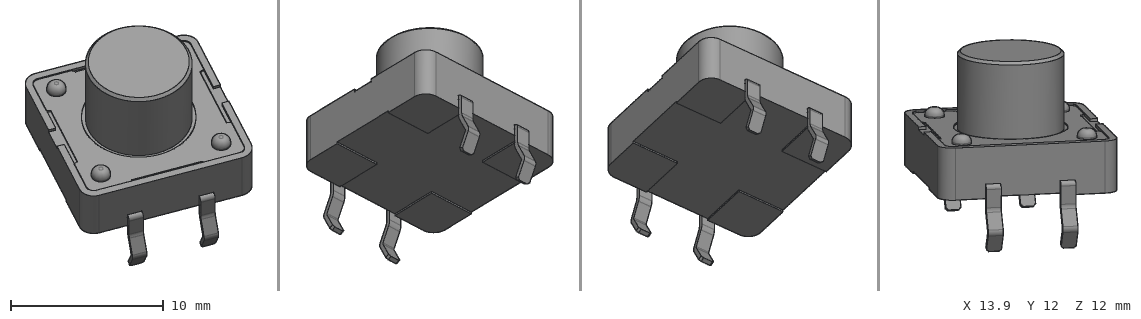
import cadquery as cq
import math


BASE_SIDE = 12.0
BASE_HEIGHT = 3.5
BASE_CORNER_RADIUS = 1.0
RIM_WIDTH = 0.5
RECESS_DEPTH = 0.2
RECESS_SIDE = BASE_SIDE - 2 * RIM_WIDTH
RECESS_CORNER_RADIUS = 0.5
FLOOR_Z = BASE_HEIGHT - RECESS_DEPTH
RIM_NOTCH_WIDTH = 1.6
CHANNEL_WIDTH = 4.9
CHANNEL_DEPTH = 0.14

RIVET_DIAMETER = 1.28
RIVET_SPACING = 8.39
RIVET_RISE = 0.5
RIVET_ROUNDING = 0.5
RIVET_HEIGHT = RECESS_DEPTH + RIVET_RISE

PLATE_THICKNESS = RECESS_DEPTH / 2
PLATE_OPENING = 7.5
EDGE_CUT_LENGTH = 5.21
EDGE_CUT_FLOOR_Y = 5.0
EDGE_CUT_FLOOR_X = 4.9
EDGE_CUT_DEPTH_Y = 0.29
EDGE_CUT_DEPTH_X = 0.2

BUTTON_DIAMETER = 7.0
BUTTON_RISE = 5.0
BUTTON_CHAMFER = 0.2

CONTACT_SPAN = 13.94
CONTACT_THICKNESS = 0.3
CONTACT_WIDTH = 1.0
CONTACT_SPACING = 5.0
STRIP_TOP = 0.99
STRIP_BOTTOM = STRIP_TOP - CONTACT_THICKNESS
LEG_ANGLE = math.radians(27)
LEG_BEND_Z = -0.7
LEG_TIP_Z = -3.48
SHOULDER_RADIUS = CONTACT_THICKNESS
BEND_RADIUS = 0.64
KNEE_RADIUS = 0.43
TIP_CHAMFER = 0.15


def block(length, width, bottom, top):
    """Box centred on the Z axis between two heights."""
    return cq.Workplane("XY").workplane(offset=bottom).rect(length, width).extrude(top - bottom)


def rivet_places(bottom):
    return cq.Workplane("XY").workplane(offset=bottom).rect(
        RIVET_SPACING, RIVET_SPACING, forConstruction=True
    ).vertices()


def contact_places():
    return [side * CONTACT_SPACING / 2 for side in (-1, 1)]


def make_rivets():
    rivets = rivet_places(FLOOR_Z).circle(RIVET_DIAMETER / 2).extrude(RIVET_HEIGHT)
    return rivets.faces(">Z").edges().fillet(RIVET_ROUNDING)


def make_base():
    base = block(BASE_SIDE, BASE_SIDE, 0, BASE_HEIGHT).edges("|Z").fillet(BASE_CORNER_RADIUS)

    recess = block(RECESS_SIDE, RECESS_SIDE, FLOOR_Z, BASE_HEIGHT)
    base = base.cut(recess.edges("|Z").fillet(RECESS_CORNER_RADIUS))
    base = base.cut(block(RIM_NOTCH_WIDTH, BASE_SIDE, FLOOR_Z, BASE_HEIGHT))

    base = base.cut(block(CHANNEL_WIDTH, BASE_SIDE, 0, CHANNEL_DEPTH))
    base = base.cut(block(BASE_SIDE, CHANNEL_WIDTH, 0, CHANNEL_DEPTH))

    slot = block(BASE_SIDE, CONTACT_WIDTH, STRIP_BOTTOM, STRIP_TOP)
    for y in contact_places():
        base = base.cut(slot.translate((0, y, 0)))

    return base.union(make_rivets())


def make_edge_cut(floor_length, depth):
    """Tapered cutter for the -Y edge of the cover plate."""
    edge_y = -RECESS_SIDE / 2
    return (
        cq.Workplane("XY").workplane(offset=FLOOR_Z)
        .moveTo(-EDGE_CUT_LENGTH / 2, edge_y)
        .lineTo(EDGE_CUT_LENGTH / 2, edge_y)
        .lineTo(floor_length / 2, edge_y + depth)
        .lineTo(-floor_length / 2, edge_y + depth)
        .close()
        .extrude(PLATE_THICKNESS)
    )


def make_plate():
    plate = block(RECESS_SIDE, RECESS_SIDE, FLOOR_Z, FLOOR_Z + PLATE_THICKNESS)
    plate = plate.edges("|Z").fillet(RECESS_CORNER_RADIUS)
    plate = plate.cut(
        cq.Workplane("XY").workplane(offset=FLOOR_Z).circle(PLATE_OPENING / 2).extrude(PLATE_THICKNESS)
    )
    plate = plate.cut(rivet_places(FLOOR_Z).circle(RIVET_DIAMETER / 2).extrude(PLATE_THICKNESS))

    cut_y = make_edge_cut(EDGE_CUT_FLOOR_Y, EDGE_CUT_DEPTH_Y)
    cut_x = make_edge_cut(EDGE_CUT_FLOOR_X, EDGE_CUT_DEPTH_X)
    for turn in (0, 180):
        plate = plate.cut(cut_y.rotate((0, 0, 0), (0, 0, 1), turn))
        plate = plate.cut(cut_x.rotate((0, 0, 0), (0, 0, 1), turn + 90))
    return plate


def make_button():
    """Plain cylinder that stands on the floor of the recess."""
    button = cq.Workplane("XY").workplane(offset=FLOOR_Z).circle(BUTTON_DIAMETER / 2)
    button = button.extrude(RECESS_DEPTH + BUTTON_RISE)
    return button.faces(">Z").edges().chamfer(BUTTON_CHAMFER)


def make_contact(y):
    """Strip through the base that turns down its two walls into legs bent out and back in."""
    t = CONTACT_THICKNESS
    inner_x = BASE_SIDE / 2
    outer_x = inner_x + t
    knee_x = CONTACT_SPAN / 2 + KNEE_RADIUS * (1 / math.cos(LEG_ANGLE) - 1)
    knee_z = LEG_BEND_Z - (knee_x - outer_x) / math.tan(LEG_ANGLE)
    tip_x = knee_x - (knee_z - LEG_TIP_Z) * math.tan(LEG_ANGLE)
    tip_run = t * math.cos(LEG_ANGLE)
    tip_rise = t * math.sin(LEG_ANGLE)

    corners = [
        (outer_x, STRIP_TOP, SHOULDER_RADIUS),
        (outer_x, LEG_BEND_Z, BEND_RADIUS),
        (knee_x, knee_z, KNEE_RADIUS),
        (tip_x, LEG_TIP_Z, 0),
        (tip_x - tip_run, LEG_TIP_Z + tip_rise, 0),
        (knee_x - t / math.cos(LEG_ANGLE), knee_z, KNEE_RADIUS - t),
        (inner_x, LEG_BEND_Z - t * math.tan(LEG_ANGLE / 2), BEND_RADIUS + t),
        (inner_x, STRIP_BOTTOM, 0),
    ]
    half = [(x, z) for x, z, radius in corners]
    other_half = [(-x, z) for x, z in reversed(half)]
    contact = cq.Workplane("XZ", origin=(0, y, 0)).polyline(half + other_half).close()
    contact = contact.extrude(CONTACT_WIDTH / 2, both=True)

    for side in (-1, 1):
        for x, z, radius in corners:
            if radius > 0:
                edge = cq.NearestToPointSelector((side * x, y, z))
                contact = contact.edges("|Y").edges(edge).fillet(radius)
        tip_middle_x = side * (tip_x - tip_run / 2)
        tip_middle_z = LEG_TIP_Z + tip_rise / 2
        for tip_side in (-1, 1):
            edge = cq.NearestToPointSelector((tip_middle_x, y + tip_side * CONTACT_WIDTH / 2, tip_middle_z))
            contact = contact.edges(edge).chamfer(TIP_CHAMFER)
    return contact


base = make_base()
plate = make_plate()
button = make_button()
contacts = [make_contact(y) for y in contact_places()]

result = cq.Compound.makeCompound(
    [base.val(), plate.val(), button.val(), *[contact.val() for contact in contacts]]
)